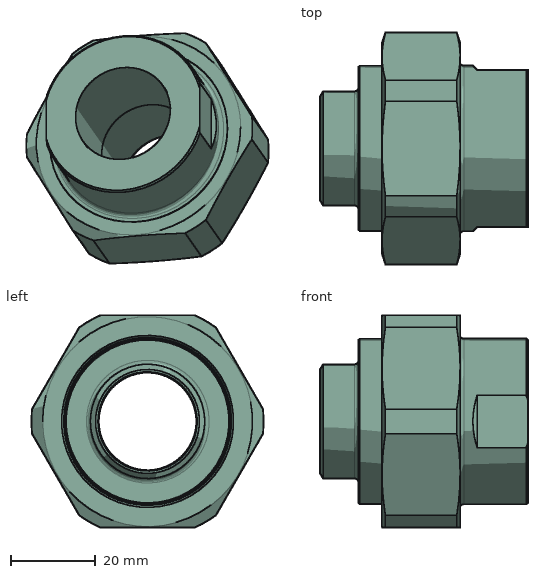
import cadquery as cq
import math

total_length = 49.0
bore_diameter = 22.9

spigot_diameter = 26.9
tip_chamfer_length = 0.75
tip_face_diameter = 24.45
bore_edge_chamfer = 0.2
collar_start = 9.1
collar_diameter = 39.0
collar_chamfer = 0.35
root_fillet = 1.0

nut_start = 14.55
nut_length = 18.55
nut_end = nut_start + nut_length
across_flats = 50.0
corner_diameter = 54.7
nut_face_diameter = 49.4
nut_chamfer_length = 0.9
lip_bore_diameter = 39.5
lip_edge_chamfer = 0.5
lip_length = 3.3

chamber_diameter = 43.0
flange_start = nut_start + lip_length
flange_length = 4.4
joint_position = flange_start + flange_length

shoulder_position = 32.85
socket_diameter = 39.05
socket_chamfer_length = 0.5
socket_chamfer_depth = 0.4
flat_distance = 37.0
flat_start = 37.0


def revolve_about_x(profile):
    """Revolve a profile, drawn in the XY plane, once around the X axis."""
    return profile.close().revolve(360, (0, 0, 0), (1, 0, 0))


def make_tailpiece():
    bore_radius = bore_diameter / 2
    spigot_radius = spigot_diameter / 2
    collar_radius = collar_diameter / 2
    flange_radius = chamber_diameter / 2
    diagonal = root_fillet * (1 - math.sqrt(0.5))
    fillet_middle = (collar_start - diagonal, spigot_radius + diagonal)
    profile = (
        cq.Workplane("XY")
        .moveTo(bore_edge_chamfer, bore_radius)
        .lineTo(0, bore_radius + bore_edge_chamfer)
        .lineTo(0, tip_face_diameter / 2)
        .lineTo(tip_chamfer_length, spigot_radius)
        .lineTo(collar_start - root_fillet, spigot_radius)
        .threePointArc(fillet_middle, (collar_start, spigot_radius + root_fillet))
        .lineTo(collar_start, collar_radius - collar_chamfer)
        .lineTo(collar_start + collar_chamfer, collar_radius)
        .lineTo(flange_start, collar_radius)
        .lineTo(flange_start, flange_radius)
        .lineTo(joint_position, flange_radius)
        .lineTo(joint_position, bore_radius)
    )
    return revolve_about_x(profile)


def make_nut():
    hexagon = (
        cq.Workplane("YZ", origin=(nut_start, 0, 0))
        .polygon(6, across_flats / math.cos(math.radians(30)))
        .extrude(nut_length)
    )
    corner_radius = corner_diameter / 2
    face_radius = nut_face_diameter / 2
    envelope = revolve_about_x(
        cq.Workplane("XY")
        .moveTo(nut_start, 0)
        .lineTo(nut_start, face_radius)
        .lineTo(nut_start + nut_chamfer_length, corner_radius)
        .lineTo(nut_end - nut_chamfer_length, corner_radius)
        .lineTo(nut_end, face_radius)
        .lineTo(nut_end, 0)
    )
    lip_radius = lip_bore_diameter / 2
    chamber_radius = chamber_diameter / 2
    opening = revolve_about_x(
        cq.Workplane("XY")
        .moveTo(nut_start, 0)
        .lineTo(nut_start, lip_radius + lip_edge_chamfer)
        .lineTo(nut_start + lip_edge_chamfer, lip_radius)
        .lineTo(flange_start, lip_radius)
        .lineTo(flange_start, chamber_radius)
        .lineTo(nut_end, chamber_radius)
        .lineTo(nut_end, 0)
    )
    return hexagon.intersect(envelope).cut(opening)


def make_flat_cutter():
    """Cutter for the +Y wrench flat, with a 45 degree run-out at its inner end."""
    flat_height = flat_distance / 2
    clearance = socket_diameter / 2
    return (
        cq.Workplane("XY")
        .moveTo(flat_start, flat_height)
        .lineTo(total_length, flat_height)
        .lineTo(total_length, flat_height + clearance)
        .lineTo(flat_start - clearance, flat_height + clearance)
        .close()
        .extrude(clearance, both=True)
    )


def make_socket():
    bore_radius = bore_diameter / 2
    shank_radius = chamber_diameter / 2
    socket_radius = socket_diameter / 2
    diagonal = root_fillet * (1 - math.sqrt(0.5))
    fillet_middle = (shoulder_position + diagonal, socket_radius + diagonal)
    socket = revolve_about_x(
        cq.Workplane("XY")
        .moveTo(joint_position, bore_radius)
        .lineTo(joint_position, shank_radius)
        .lineTo(shoulder_position, shank_radius)
        .lineTo(shoulder_position, socket_radius + root_fillet)
        .threePointArc(fillet_middle, (shoulder_position + root_fillet, socket_radius))
        .lineTo(total_length - socket_chamfer_length, socket_radius)
        .lineTo(total_length, socket_radius - socket_chamfer_depth)
        .lineTo(total_length, bore_radius)
    )
    cutter = make_flat_cutter()
    for flat in (cutter, cutter.mirror("XZ")):
        socket = socket.cut(flat)
    return socket


tailpiece = make_tailpiece()
nut = make_nut()
socket = make_socket()

result = cq.Compound.makeCompound([body.solids().val() for body in (tailpiece, nut, socket)])